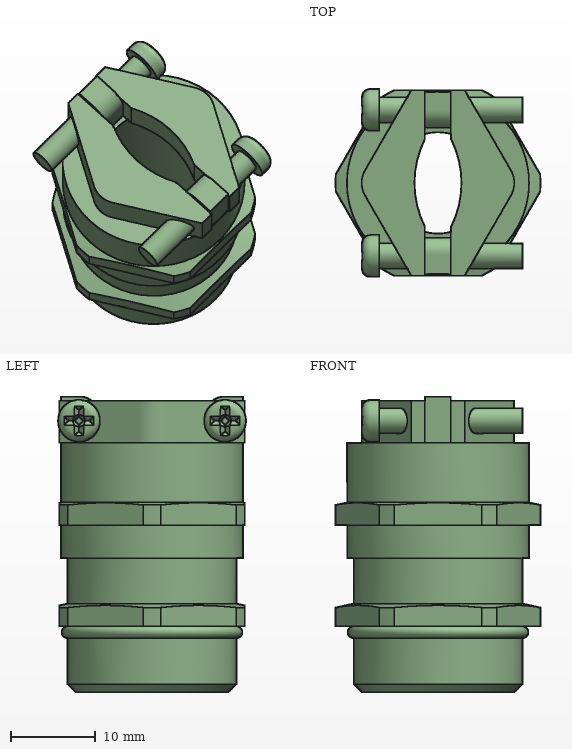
import cadquery as cq
import math

bore_radius = 6.0
thread_radius = 10.0
collar_radius = 10.78
collar_bottom = 15.9
body_top = 29.5
entry_chamfer = 0.98

seal_radius = 0.7

hex_across_flats = 21.98
hex_across_corners = hex_across_flats / math.cos(math.radians(30))
hex_corner_radius = 12.15
hex_height = 2.7
hex_cone_angle = 12.5
lower_hex_bottom = 7.8
upper_hex_bottom = 19.78
seal_center_z = lower_hex_bottom - seal_radius

jaw_top = 34.5
jaw_half_width = hex_across_flats / 2
jaw_tip_half_width = 3.15
jaw_corner_radius = 3.0
jaw_slope = math.tan(math.radians(60))
lug_top = 35.0
lug_half_thickness = 1.55
lug_outer_y = 10.78
lug_inner_y = 6.5
lug_round = 1.95
opening_half_length = 5.18
opening_half_width = 2.75

screw_y = 8.65
screw_z = 32.13
shank_radius = 1.5
shank_end_x = 10.0
head_radius = 2.5
head_outer_x = -9.03
head_length = 2.1
head_round = 1.05

cross_length = 3.57
cross_width = 1.1
cross_depth = 0.7
pit_depth = 1.25
pit_top_side = cross_width * math.sqrt(2)
pit_bottom_side = 0.7
taper_margin = 0.01


def ring(radius, bottom, top):
    """Solid round section between two heights."""
    return cq.Workplane("XY").workplane(offset=bottom).circle(radius).extrude(top - bottom)


def wrench_hexagon(bottom, cone_radius):
    """Hexagon with corners turned round and a shallow cone on top that starts at cone_radius."""
    top = bottom + hex_height
    drop = (hex_corner_radius - cone_radius) * math.tan(math.radians(hex_cone_angle))
    hexagon = (
        cq.Workplane("XY")
        .workplane(offset=bottom)
        .polygon(6, hex_across_corners)
        .extrude(hex_height)
    )
    envelope = (
        cq.Workplane("XZ")
        .moveTo(0, bottom)
        .lineTo(hex_corner_radius, bottom)
        .lineTo(hex_corner_radius, top - drop)
        .lineTo(cone_radius, top)
        .lineTo(0, top)
        .close()
        .revolve(360, (0, 0, 0), (0, 1, 0))
    )
    return hexagon.intersect(envelope)


def gland_body():
    thread = ring(thread_radius, 0, collar_bottom).faces("<Z").chamfer(entry_chamfer)
    seal = (
        cq.Workplane("XZ")
        .moveTo(thread_radius, seal_center_z - seal_radius)
        .threePointArc(
            (thread_radius + seal_radius, seal_center_z),
            (thread_radius, seal_center_z + seal_radius),
        )
        .close()
        .revolve(360, (0, 0, 0), (0, 1, 0))
    )
    body = thread.union(seal).union(ring(collar_radius, collar_bottom, body_top))
    body = body.union(wrench_hexagon(lower_hex_bottom, thread_radius))
    body = body.union(wrench_hexagon(upper_hex_bottom, collar_radius))
    return body.cut(ring(bore_radius, 0, body_top))


def clamp_jaw(side):
    """One jaw: a blunt wedge outside and a shallow arc inside; side is -1 or +1 along X."""
    apex_x = jaw_tip_half_width + jaw_half_width / jaw_slope
    return (
        cq.Workplane("XY")
        .workplane(offset=body_top)
        .moveTo(side * lug_half_thickness, jaw_half_width)
        .lineTo(side * jaw_tip_half_width, jaw_half_width)
        .lineTo(side * apex_x, 0)
        .lineTo(side * jaw_tip_half_width, -jaw_half_width)
        .lineTo(side * lug_half_thickness, -jaw_half_width)
        .lineTo(side * lug_half_thickness, -opening_half_length)
        .threePointArc(
            (side * opening_half_width, 0),
            (side * lug_half_thickness, opening_half_length),
        )
        .close()
        .extrude(jaw_top - body_top)
        .edges("|Z")
        .edges(">X" if side > 0 else "<X")
        .fillet(jaw_corner_radius)
    )


def clamp_lug(side):
    """Block between the jaws, rounded along its upper inner edge; side is -1 or +1 along Y."""
    return (
        cq.Workplane("XY")
        .workplane(offset=body_top)
        .center(0, side * (lug_outer_y + lug_inner_y) / 2)
        .rect(2 * lug_half_thickness, lug_outer_y - lug_inner_y)
        .extrude(lug_top - body_top)
        .edges(">Z and " + ("<Y" if side > 0 else ">Y"))
        .fillet(lug_round)
    )


def cross_recess():
    """Two crossing V-shaped slots with hipped ends and a deeper square pit in the middle."""
    face = cq.Workplane("YZ").workplane(offset=head_outer_x)
    taper = math.degrees(math.atan(cross_width / 2 / cross_depth)) - taper_margin
    recess = (
        face.transformed(rotate=(0, 0, 45))
        .rect(pit_top_side, pit_top_side)
        .workplane(offset=pit_depth)
        .rect(pit_bottom_side, pit_bottom_side)
        .loft()
    )
    for size in ((cross_length, cross_width), (cross_width, cross_length)):
        recess = recess.union(face.rect(*size).extrude(cross_depth, taper=taper))
    return recess


def clamp_screw():
    """Pan-head screw along X, centred on the X axis."""
    head = (
        cq.Workplane("YZ")
        .workplane(offset=head_outer_x)
        .circle(head_radius)
        .extrude(head_length)
        .faces("<X")
        .edges()
        .fillet(head_round)
    )
    shank_start_x = head_outer_x + head_length
    shank = (
        cq.Workplane("YZ")
        .workplane(offset=shank_start_x)
        .circle(shank_radius)
        .extrude(shank_end_x - shank_start_x)
    )
    return head.union(shank).cut(cross_recess())


result = gland_body()
for side in (-1, 1):
    result = result.union(clamp_jaw(side)).union(clamp_lug(side))
for side in (-1, 1):
    result = result.union(clamp_screw().translate((0, side * screw_y, screw_z)))